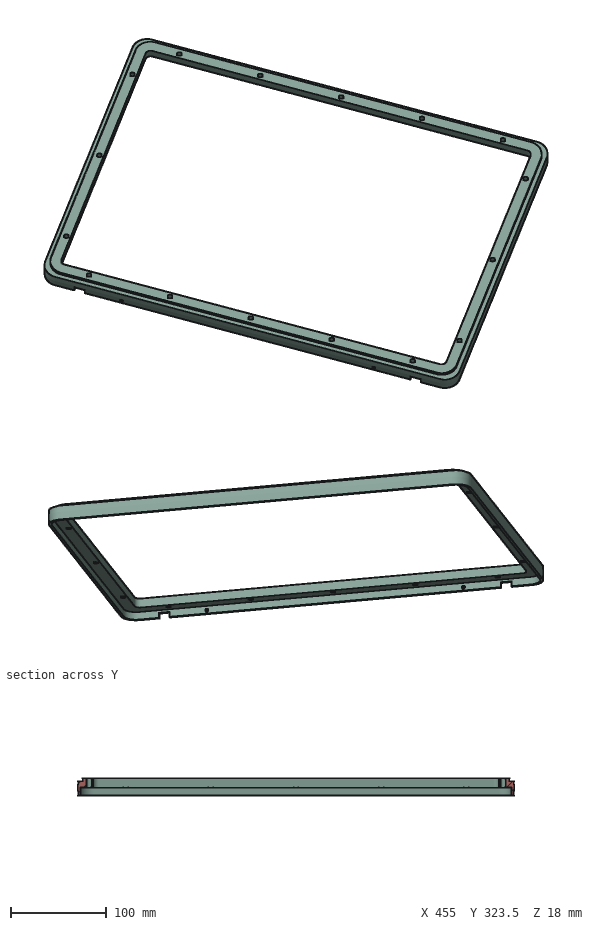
import cadquery as cq


length = 455.0
width = 323.5
height = 18.0

parting_height = 8.0
ledge_height = 15.0
draft_angle = 2.0
corner_radius = 16.5

step_inset = 5.0
window_length = 422.5
window_width = 291.0
window_corner_radius = 5.5

recess_depth = parting_height
skirt_thickness = 3.0
recess_corner_radius = corner_radius - skirt_thickness

screw_diameter = 5.0
screw_line_inset_x = 12.0
screw_line_inset_y = 11.5
long_side_pitch = 88.8
long_side_count = 5
short_side_pitch = 110.0
short_side_count = 3

notch_width = 11.5
notch_height = 5.5
notch_offset = 184.5
pin_diameter = 3.0
pin_height = 3.5
pin_offset = 138.5


def rounded_plate(size_x, size_y, radius, bottom, thickness, taper=0):
    """Rounded rectangle centred on the Z axis, extruded upwards from the given level."""
    outline = cq.Sketch().rect(size_x, size_y).vertices().fillet(radius)
    return cq.Workplane(origin=(0, 0, bottom)).placeSketch(outline).extrude(thickness, taper=taper)


def frame_body():
    """Drafted lower and upper walls, raised step, with the window and the recess below it cut out."""
    lower_wall = rounded_plate(length, width, corner_radius, 0, parting_height, draft_angle)
    lower_wall = lower_wall.rotate((0, 0, parting_height / 2), (1, 0, parting_height / 2), 180)
    upper_wall = rounded_plate(
        length, width, corner_radius, parting_height, ledge_height - parting_height, draft_angle
    )
    step = rounded_plate(
        length - 2 * step_inset, width - 2 * step_inset, corner_radius, ledge_height, height - ledge_height
    )
    window = rounded_plate(window_length, window_width, window_corner_radius, 0, height)
    recess = rounded_plate(
        length - 2 * skirt_thickness, width - 2 * skirt_thickness, recess_corner_radius, 0, recess_depth
    )
    return lower_wall.union(upper_wall).union(step).cut(window).cut(recess)


def centred_row(count, pitch):
    """Positions of evenly spaced items centred on zero."""
    return [(i - (count - 1) / 2) * pitch for i in range(count)]


def screw_holes():
    """Through holes in rows along the long and short sides."""
    row_y = width / 2 - screw_line_inset_y
    row_x = length / 2 - screw_line_inset_x
    points = []
    for side in (-1, 1):
        points += [(x, side * row_y) for x in centred_row(long_side_count, long_side_pitch)]
        points += [(side * row_x, y) for y in centred_row(short_side_count, short_side_pitch)]
    return cq.Workplane().pushPoints(points).circle(screw_diameter / 2).extrude(height)


def front_openings():
    """Bottom-edge notches and round pin holes, mirrored about X = 0, cut through the front side."""
    opening_depth = (width - window_width) / 2
    front = cq.Workplane("XZ", origin=(0, -window_width / 2, 0))
    notches = (
        front.pushPoints([(-notch_offset, notch_height / 2), (notch_offset, notch_height / 2)])
        .rect(notch_width, notch_height)
        .extrude(opening_depth)
    )
    pins = (
        front.pushPoints([(-pin_offset, pin_height), (pin_offset, pin_height)])
        .circle(pin_diameter / 2)
        .extrude(opening_depth)
    )
    return notches.union(pins)


result = frame_body().cut(screw_holes()).cut(front_openings())